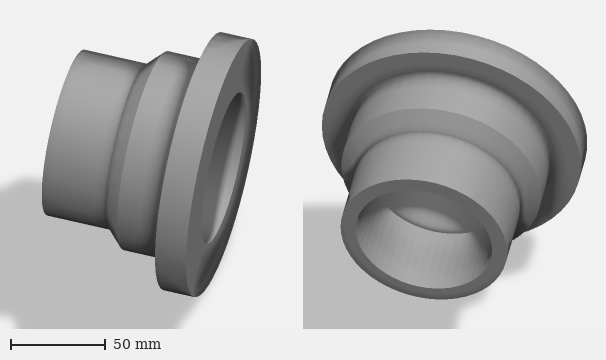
import cadquery as cq

flange_diameter = 140.0
hub_diameter = 108.0
pipe_diameter = 90.0
bore_diameter = 73.6
wide_bore_diameter = 82.0

total_length = 87.0
flange_thickness = 17.1
pipe_length = 35.1
bore_taper_start = 40.9
root_fillet = 2.0

cone_length = (hub_diameter - pipe_diameter) / 2
bore_taper_length = (wide_bore_diameter - bore_diameter) / 2

cone_end = pipe_length + cone_length
flange_start = total_length - flange_thickness
bore_taper_end = bore_taper_start + bore_taper_length

flange_radius = flange_diameter / 2
hub_radius = hub_diameter / 2
pipe_radius = pipe_diameter / 2
bore_radius = bore_diameter / 2
wide_bore_radius = wide_bore_diameter / 2

half_section = (
    cq.Workplane("XY")
    .moveTo(0, bore_radius)
    .lineTo(0, pipe_radius)
    .lineTo(pipe_length, pipe_radius)
    .lineTo(cone_end, hub_radius)
    .lineTo(flange_start - root_fillet, hub_radius)
    .radiusArc((flange_start, hub_radius + root_fillet), -root_fillet)
    .lineTo(flange_start, flange_radius)
    .lineTo(total_length, flange_radius)
    .lineTo(total_length, wide_bore_radius)
    .lineTo(bore_taper_end, wide_bore_radius)
    .lineTo(bore_taper_start, bore_radius)
    .close()
)

result = half_section.revolve(360, (0, 0, 0), (1, 0, 0))